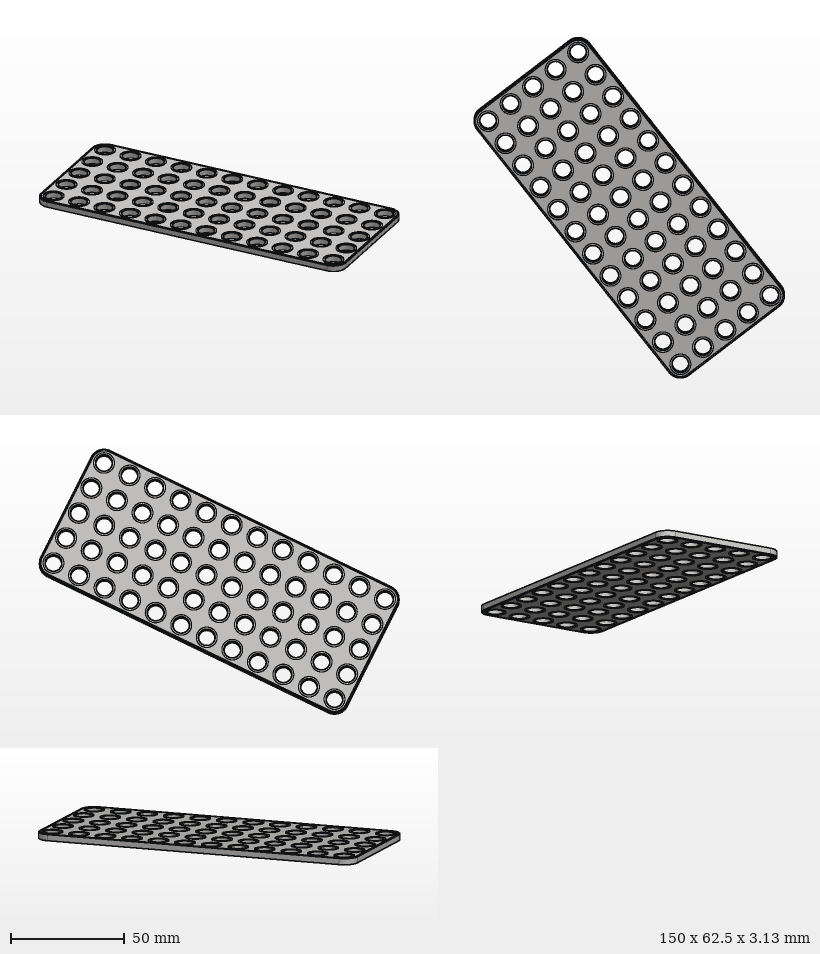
import cadquery as cq

columns = 12
rows = 5
length = 150.0
pitch = length / columns
width = rows * pitch
thickness = pitch / 4
corner_radius = pitch / 2
edge_chamfer = 0.3

panel_depth = 0.21
rim_width = 0.8
ring_diameter = 9.2

bore_diameter = 7.0
mouth_chamfer = 0.27


def rounded_slab(inset, height):
    """Slab centred on the origin, its outline set in evenly from the plate's outline."""
    slab = cq.Workplane("XY").box(length - 2 * inset, width - 2 * inset, height)
    return slab.edges("|Z").fillet(corner_radius - inset)


def at_every_hole(solid):
    """Copies of a solid, one at the centre of each cell."""
    centres = cq.Workplane("XY").rarray(pitch, pitch, columns, rows)
    return centres.eachpoint(lambda location: solid.moved(location))


def make_plate():
    """Rounded plate with its top and bottom outer edges chamfered."""
    return rounded_slab(0, thickness).faces("<Z or >Z").edges().chamfer(edge_chamfer)


def make_panel():
    """Sunken area of one face, with the rings around the holes left out."""
    ring = cq.Workplane("XY").circle(ring_diameter / 2).extrude(panel_depth, both=True).val()
    return rounded_slab(rim_width, panel_depth).cut(at_every_hole(ring))


def make_hole_cutter():
    """Solid of revolution that fills one hole, centred on the origin."""
    half_height = thickness / 2
    bore_half_height = half_height - mouth_chamfer
    bore_radius = bore_diameter / 2
    mouth_radius = bore_radius + mouth_chamfer
    profile = [
        (0, -half_height),
        (mouth_radius, -half_height),
        (bore_radius, -bore_half_height),
        (bore_radius, bore_half_height),
        (mouth_radius, half_height),
        (0, half_height),
    ]
    return cq.Workplane("XZ").polyline(profile).close().revolve(360, (0, 0), (0, 1)).val()


result = make_plate()

panel = make_panel()
panel_height = (thickness - panel_depth) / 2
for side in (1, -1):
    result = result.cut(panel.translate((0, 0, side * panel_height)))

result = result.cut(at_every_hole(make_hole_cutter()))